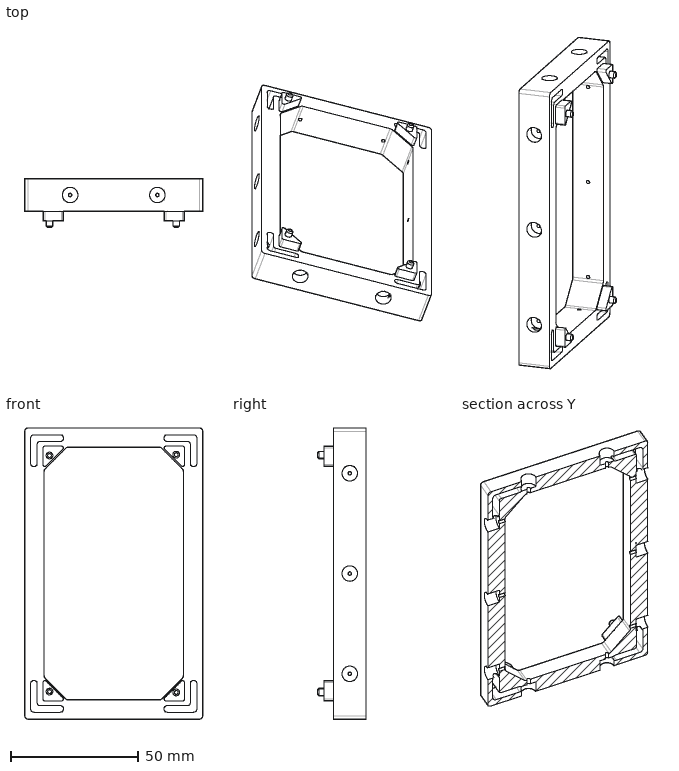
import cadquery as cq

frame_width = 69.8
frame_height = 114.3
frame_depth = 12.8
wall = 7.7
outer_corner_radius = 1.4
gusset_leg = 8.8
gusset_blend_radius = 1.5

slot_width = 2.6
slot_inset_x = 2.3
slot_inset_z = 2.7
slot_reach = 15.2
slot_depth = 8.6
slot_outer_radius = 1.4
slot_inner_radius = 0.9

pad_inset = 7.2
pad_leg = 8.9
pad_height = 3.8
pad_corner_radius = 0.7

pin_diameter = 2.6
pin_height = 2.5
pin_chamfer = 0.6
left_pin_inset = (9.7, 10.9)
right_pin_inset = (10.4, 10.5)

bore_diameter = 6.1
bore_depth = 5.0
pilot_diameter = 1.3
hole_inset = 17.8

half_width = frame_width / 2
half_height = frame_height / 2
back_y = frame_depth / 2
front_y = -back_y
pad_top_y = front_y - pad_height

overlap = 0.6

corners = [(sx, sz) for sx in (-1, 1) for sz in (-1, 1)]


def front_plane(y):
    """Sketch plane facing -Y, with local axes along +X and +Z."""
    return cq.Workplane("XZ", origin=(0, y, 0))


def at_corner(sx, sz, points):
    """Turn insets from the side edges into positions at one frame corner."""
    return [(sx * (half_width - x), sz * (half_height - z)) for x, z in points]


def make_frame():
    outer = front_plane(back_y).rect(frame_width, frame_height).extrude(frame_depth)
    outer = outer.edges("|Y").fillet(outer_corner_radius)
    opening = front_plane(back_y).rect(frame_width - 2 * wall, frame_height - 2 * wall)
    opening = opening.extrude(frame_depth).edges("|Y").chamfer(gusset_leg)
    opening = opening.edges("|Y").fillet(gusset_blend_radius)
    return outer.cut(opening)


def make_slot(sx, sz):
    inner_x = slot_inset_x + slot_width
    inner_z = slot_inset_z + slot_width
    end_radius = slot_width / 2
    straight_end = slot_reach - end_radius
    outline = at_corner(sx, sz, [
        (slot_inset_x, slot_inset_z),
        (straight_end, slot_inset_z),
        (slot_reach, slot_inset_z + end_radius),
        (straight_end, inner_z),
        (inner_x, inner_z),
        (inner_x, straight_end),
        (slot_inset_x + end_radius, slot_reach),
        (slot_inset_x, straight_end),
    ])
    slot = (
        front_plane(front_y + slot_depth)
        .moveTo(*outline[0])
        .lineTo(*outline[1])
        .threePointArc(outline[2], outline[3])
        .lineTo(*outline[4])
        .lineTo(*outline[5])
        .threePointArc(outline[6], outline[7])
        .close()
        .extrude(slot_depth)
    )
    outer_edge, inner_edge = (
        cq.selectors.NearestToPointSelector((x, front_y + slot_depth / 2, z))
        for x, z in (outline[0], outline[4])
    )
    slot = slot.edges("|Y").edges(outer_edge).fillet(slot_outer_radius)
    return slot.edges("|Y").edges(inner_edge).fillet(slot_inner_radius)


def make_pad(sx, sz):
    outline = at_corner(sx, sz, [
        (pad_inset, pad_inset),
        (pad_inset + pad_leg, pad_inset),
        (pad_inset, pad_inset + pad_leg),
    ])
    pad = front_plane(front_y + overlap).polyline(outline).close().extrude(pad_height + overlap)
    return pad.edges("|Y").fillet(pad_corner_radius)


def make_pin(sx, sz):
    inset = left_pin_inset if sx < 0 else right_pin_inset
    pin = front_plane(pad_top_y + overlap).pushPoints(at_corner(sx, sz, [inset]))
    pin = pin.circle(pin_diameter / 2).extrude(pin_height + overlap)
    return pin.faces("<Y").chamfer(pin_chamfer)


def make_wall_hole(position, inward):
    """Wide bore from the outside, with a small pilot hole through the rest of the wall."""
    start = cq.Vector(*position)
    direction = cq.Vector(*inward)
    bore = cq.Solid.makeCylinder(bore_diameter / 2, bore_depth, start, direction)
    pilot = cq.Solid.makeCylinder(pilot_diameter / 2, wall + overlap, start, direction)
    return cq.Workplane(bore).union(cq.Workplane(pilot))


result = make_frame()

for sx, sz in corners:
    result = result.union(make_pad(sx, sz))
    result = result.union(make_pin(sx, sz))
    result = result.cut(make_slot(sx, sz))

for side in (-1, 1):
    for z in (hole_inset - half_height, 0, half_height - hole_inset):
        result = result.cut(make_wall_hole((side * half_width, 0, z), (-side, 0, 0)))
    for x in (hole_inset - half_width, half_width - hole_inset):
        result = result.cut(make_wall_hole((x, 0, side * half_height), (0, 0, -side)))